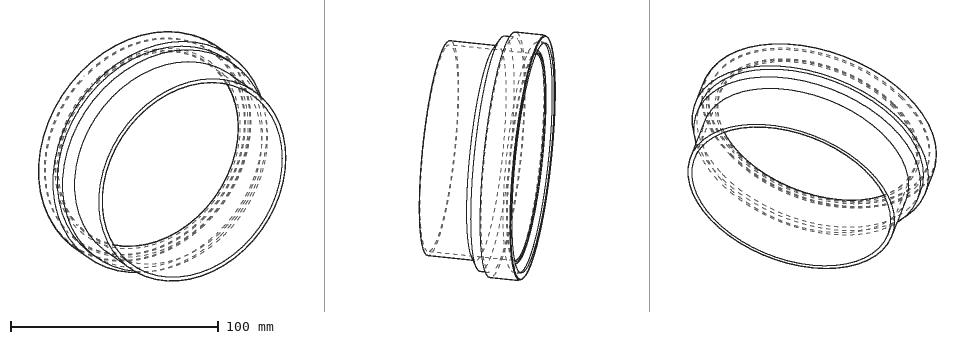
import cadquery as cq

length = 46.0
left = -length / 2

flange_radius = 118.9 / 2
collar_radius = 114.0 / 2
tube_radius = 104.0 / 2
bore_radius = 100.0 / 2

flange_end = 14.9
collar_end = 19.9
cone_end = 22.8

lead_in_length = 1.8
lead_in_drop = 0.4
edge_break = 0.4

groove_outer_radius = 55.6
groove_inner_radius = 51.5
groove_wall_length = 1.0
groove_depth = 4.6
lip_setback = 3.2
lip_edge_break = 0.5

lead_in_radius = flange_radius - lead_in_drop
groove_middle_radius = (groove_outer_radius + groove_inner_radius) / 2

section = (
    cq.Workplane("XY", origin=(left, 0, 0))
    .moveTo(0, groove_outer_radius)
    .lineTo(0, lead_in_radius - edge_break)
    .lineTo(edge_break, lead_in_radius)
    .lineTo(lead_in_length, flange_radius)
    .lineTo(flange_end, flange_radius)
    .lineTo(flange_end, collar_radius)
    .lineTo(collar_end, collar_radius)
    .lineTo(cone_end, tube_radius)
    .lineTo(length, tube_radius)
    .lineTo(length, bore_radius)
    .lineTo(lip_setback + lip_edge_break, bore_radius)
    .lineTo(lip_setback, bore_radius + lip_edge_break)
    .lineTo(lip_setback, groove_inner_radius)
    .threePointArc((groove_depth, groove_middle_radius), (groove_wall_length, groove_outer_radius))
    .close()
)

result = section.revolve(360, (0, 0, 0), (1, 0, 0))